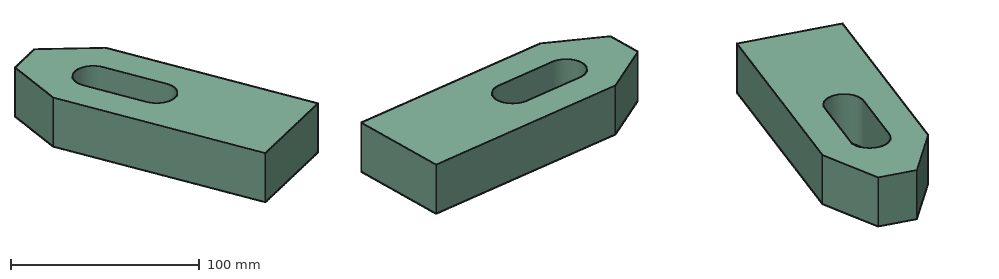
import cadquery as cq
import math

length = 160.0
width = 60.0
thickness = 30.0
nose_width = 22.0
taper_angle = 30.0
slot_width = nose_width
slot_start = 30.0
slot_length = 60.0

taper_length = (width - nose_width) / 2 / math.tan(math.radians(taper_angle))


def clamp_body():
    """Flat bar tapering to a narrow nose at X = 0."""
    return (
        cq.Workplane("XY")
        .moveTo(0, -nose_width / 2)
        .lineTo(taper_length, -width / 2)
        .lineTo(length, -width / 2)
        .lineTo(length, width / 2)
        .lineTo(taper_length, width / 2)
        .lineTo(0, nose_width / 2)
        .close()
        .extrude(thickness)
    )


def bolt_slot():
    """Round-ended slot passing through the full thickness."""
    slot_center = slot_start + slot_length / 2
    return (
        cq.Workplane("XY")
        .center(slot_center, 0)
        .slot2D(slot_length, slot_width)
        .extrude(thickness)
    )


result = clamp_body().cut(bolt_slot())